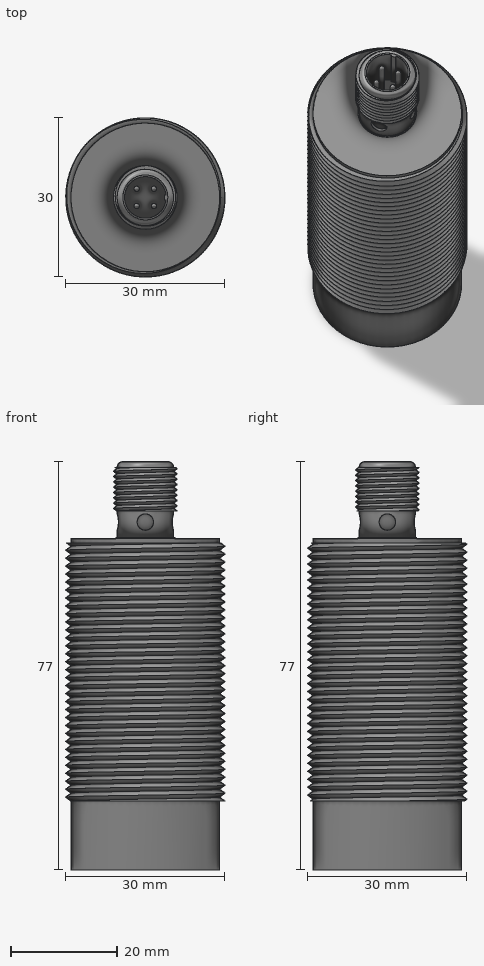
import cadquery as cq
import math

body_radius = 14.0
cap_height = 13.0

sleeve_crest_radius = 15.0
sleeve_thread_pitch = sleeve_crest_radius / 10
sleeve_thread_turns = 32.4
sleeve_thread_top = cap_height + sleeve_thread_turns * sleeve_thread_pitch
collar_height = 0.85
sleeve_top = sleeve_thread_top + collar_height

total_height = 77.0
neck_radius = 5.3
foot_radius = 5.55
foot_height = 0.15
rim_rounding = 1.1
shell_root_radius = 5.4
shell_crest_radius = 6.0
shell_thread_pitch = shell_crest_radius / 6
shell_thread_bottom = 67.7
shell_thread_top = total_height - rim_rounding

window_radius = 1.55
window_count = 4
window_z = 65.6
ring_radius = 4.8
ring_top = shell_thread_bottom

insert_radius = neck_radius - rim_rounding
socket_radius = 3.9
socket_floor = 67.75
key_width = 0.9
key_depth = 0.3

pin_radius = 0.5
pin_tip_flat_radius = 0.04
pin_offset = 1.6
pin_top = 75.45
pin_seat_depth = 2.3
pin_bottom = socket_floor - pin_seat_depth

trimmed_turns = 3


def cylinder(radius, bottom, top):
    return cq.Workplane("XY").workplane(offset=bottom).circle(radius).extrude(top - bottom)


def helix_turn(radius, start, pitch):
    """One right-hand helical turn that starts on the +X side."""
    return cq.Wire.makeHelix(pitch, pitch, radius, center=cq.Vector(0, 0, start)).Edges()[0]


def helicoid(radius, start, pitch):
    """Spiral ramp of one turn, from the axis out to a helix."""
    axis = cq.Edge.makeLine(cq.Vector(0, 0, start), cq.Vector(0, 0, start + pitch))
    return cq.Face.makeRuledSurface(axis, helix_turn(radius, start, pitch))


def ramp_step(root_radius, crest_radius, start, pitch):
    """Flat radial face, as wide as one tooth profile, where a spiral ramp meets its own end."""
    outline = [
        (0, start),
        (root_radius, start),
        (crest_radius, start + pitch / 2),
        (root_radius, start + pitch),
        (0, start + pitch),
    ]
    points = [cq.Vector(x, 0, z) for x, z in outline]
    return cq.Face.makeFromWires(cq.Wire.makePolygon(points, close=True))


def threaded_rod(root_radius, crest_radius, pitch, bottom, top):
    """Rod with a sharp right-hand V thread, cut flat at both ends.

    The crest meets the bottom end on the +X side. The skin is built overlong,
    with a spiral ramp closing each end, and then trimmed to length.
    """
    first_crest = bottom - pitch
    first_root = first_crest - pitch / 2
    turns = math.ceil((top - bottom) / pitch) + trimmed_turns
    last_root = first_root + turns * pitch
    faces = []
    for i in range(turns):
        root_z = first_root + i * pitch
        lower_root = helix_turn(root_radius, root_z, pitch)
        crest = helix_turn(crest_radius, root_z + pitch / 2, pitch)
        upper_root = helix_turn(root_radius, root_z + pitch, pitch)
        faces.append(cq.Face.makeRuledSurface(lower_root, crest))
        faces.append(cq.Face.makeRuledSurface(crest, upper_root))
    for end_z in (first_root, last_root):
        faces.append(helicoid(root_radius, end_z, pitch))
        faces.append(ramp_step(root_radius, crest_radius, end_z, pitch))
    overlong = cq.Solid.makeSolid(cq.Shell.makeShell(faces))
    return cq.Workplane(overlong).intersect(cylinder(crest_radius + pitch, bottom, top))


def make_cap():
    return cylinder(body_radius, 0, cap_height)


def make_sleeve():
    thread = threaded_rod(
        body_radius, sleeve_crest_radius, sleeve_thread_pitch, cap_height, sleeve_thread_top
    )
    return thread.union(cylinder(body_radius, sleeve_thread_top, sleeve_top))


def make_shell():
    neck = cylinder(neck_radius, sleeve_top, total_height).faces(">Z").edges().fillet(rim_rounding)
    foot = cylinder(foot_radius, sleeve_top, sleeve_top + foot_height)
    thread = threaded_rod(
        shell_root_radius, shell_crest_radius, shell_thread_pitch, shell_thread_bottom, shell_thread_top
    )
    shell = neck.union(foot).union(thread)
    shell = shell.cut(cylinder(insert_radius, sleeve_top, total_height))
    shell = shell.cut(cylinder(ring_radius, sleeve_top, ring_top))
    for i in range(window_count):
        window = (
            cq.Workplane("YZ")
            .center(0, window_z)
            .circle(window_radius)
            .extrude(foot_radius)
            .rotate((0, 0, 0), (0, 0, 1), i * 360 / window_count)
        )
        shell = shell.cut(window)
    return shell


def make_light_ring():
    return cylinder(ring_radius, sleeve_top, ring_top).cut(
        cylinder(insert_radius, sleeve_top, ring_top)
    )


def make_pin(x, y):
    tip_rounding = pin_radius - pin_tip_flat_radius
    pin = cylinder(pin_radius, pin_bottom, pin_top).faces(">Z").edges().fillet(tip_rounding)
    return pin.translate((x, y, 0))


def make_insert(pins):
    cup = cylinder(insert_radius, sleeve_top, total_height).cut(
        cylinder(socket_radius, socket_floor, total_height)
    )
    key_length = insert_radius - socket_radius + key_depth
    key_height = total_height - socket_floor
    key = cq.Workplane("XY").box(key_length, key_width, key_height, centered=(False, True, False))
    key = key.translate((socket_radius - key_depth, 0, socket_floor))
    key = key.intersect(cylinder(insert_radius, socket_floor, total_height))
    insert = cup.union(key)
    for pin in pins:
        insert = insert.cut(pin)
    return insert


cap = make_cap()
sleeve = make_sleeve()
shell = make_shell()
light_ring = make_light_ring()
pins = []
for x in (-pin_offset, pin_offset):
    for y in (-pin_offset, pin_offset):
        pins.append(make_pin(x, y))
insert = make_insert(pins)

result = cq.Compound.makeCompound(
    [
        cap.val(),
        *sleeve.solids().vals(),
        *shell.solids().vals(),
        *light_ring.solids().vals(),
        *insert.solids().vals(),
        *[pin.val() for pin in pins],
    ]
)